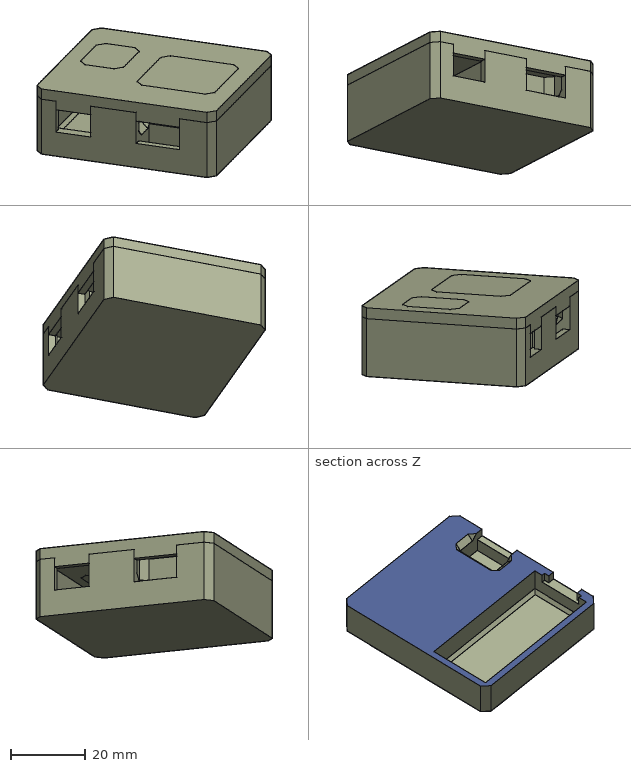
import cadquery as cq

LENGTH = 51.6
WIDTH = 46.3
HEIGHT = 19.0
OUTLINE_CENTRE = (LENGTH / 2, WIDTH / 2)
CORNER = 2.0

LID_THICKNESS = 3.0
RIM_HEIGHT = HEIGHT - LID_THICKNESS
WALL = 2.0
FLOOR = 2.0

SMALL_CENTRE = 11.15
SMALL_WINDOW_WIDTH = 10.0
LARGE_CENTRE = 35.45
LARGE_WINDOW_WIDTH = 12.4
WINDOWS = ((SMALL_CENTRE, SMALL_WINDOW_WIDTH), (LARGE_CENTRE, LARGE_WINDOW_WIDTH))
WINDOW_SILL = 7.0
TAB_DROP = 2.5

SMALL_CHAMBER_FRONT = 3.0
SMALL_CHAMBER_WIDTH = 2 * (SMALL_CENTRE - WALL)
SMALL_CHAMBER_CHAMFER = 1.0
RECESS_WIDTH = 13.0

LARGE_CHAMBER_FLOOR = 7.95
LARGE_CHAMBER_BACK = 10.95
LARGE_CHAMBER_CHAMFER = 2.0
LARGE_CHAMBER_WIDTH = LARGE_WINDOW_WIDTH + 2 * LARGE_CHAMBER_CHAMFER
WELL_FLOOR = 3.0
WELL_BACK = LARGE_CHAMBER_BACK - LARGE_CHAMBER_CHAMFER / 2

SMALL_INSERT_SIZE = (12.4, 16.05)
SMALL_INSERT_Y = 28.3
LARGE_INSERT_SIZE = (22.35, 22.25)
LARGE_INSERT_Y = 23.1


def block(centre_x, width, front, back, bottom, top):
    """Box centred on centre_x that spans front..back in Y and bottom..top in Z."""
    box = cq.Workplane("XY").box(width, back - front, top - bottom, centered=(True, False, False))
    return box.translate((centre_x, front, bottom))


def octagon(centre, size, bottom, top):
    """Upright block with its four corners cut off."""
    box = cq.Workplane("XY").box(*size, top - bottom, centered=(True, True, False))
    return box.edges("|Z").chamfer(CORNER).translate((*centre, bottom))


def small_chamber():
    chamber = block(
        SMALL_CENTRE, SMALL_CHAMBER_WIDTH, SMALL_CHAMBER_FRONT, WIDTH - WALL, FLOOR, RIM_HEIGHT
    )
    chamber = chamber.faces("<Z").edges().chamfer(SMALL_CHAMBER_CHAMFER)
    recess = block(SMALL_CENTRE, RECESS_WIDTH, WALL, SMALL_CHAMBER_FRONT, WINDOW_SILL, RIM_HEIGHT)
    return chamber.union(recess)


def large_chamber():
    chamber = block(
        LARGE_CENTRE, LARGE_CHAMBER_WIDTH, WALL, LARGE_CHAMBER_BACK, LARGE_CHAMBER_FLOOR, RIM_HEIGHT
    )
    chamber = chamber.edges("|Z or <Z").chamfer(LARGE_CHAMBER_CHAMFER)
    well = block(LARGE_CENTRE, LARGE_WINDOW_WIDTH, WALL, WELL_BACK, WELL_FLOOR, RIM_HEIGHT)
    return chamber.union(well)


def make_housing():
    body = octagon(OUTLINE_CENTRE, (LENGTH, WIDTH), 0, RIM_HEIGHT)
    for centre_x, width in WINDOWS:
        body = body.cut(block(centre_x, width, 0, WALL, WINDOW_SILL, RIM_HEIGHT))
    return body.cut(small_chamber()).cut(large_chamber())


def make_insert(centre, size):
    return octagon(centre, size, RIM_HEIGHT, HEIGHT)


def make_lid(inserts):
    """Plate with a tab that closes the top of each window and an opening for each insert."""
    plate = octagon(OUTLINE_CENTRE, (LENGTH, WIDTH), RIM_HEIGHT, HEIGHT)
    for centre_x, width in WINDOWS:
        plate = plate.union(block(centre_x, width, 0, WALL, RIM_HEIGHT - TAB_DROP, RIM_HEIGHT))
    for insert in inserts:
        plate = plate.cut(insert)
    return plate


housing = make_housing()
small_insert = make_insert((SMALL_CENTRE, SMALL_INSERT_Y), SMALL_INSERT_SIZE)
large_insert = make_insert((LARGE_CENTRE, LARGE_INSERT_Y), LARGE_INSERT_SIZE)
lid = make_lid((small_insert, large_insert))

bodies = (housing, lid, small_insert, large_insert)
result = cq.Compound.makeCompound([body.solids().val() for body in bodies])